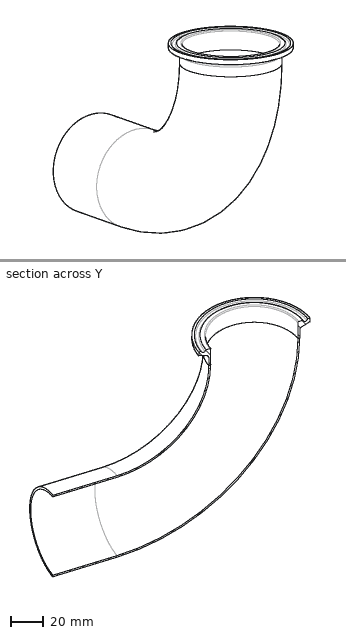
import cadquery as cq
import math

tube_radius = 31.7
wall = 1.6
bore_radius = tube_radius - wall
straight_length = 44.4
bend_radius = 95.2

rim_radius = 38.7
ferrule_height = 12.8
rim_thickness = 3.0
clamp_angle = 20.0
neck_fillet = 1.5
mouth_rounding = 0.7

groove_centre_radius = 35.3
groove_top_width = 3.5
groove_floor_width = 2.0
groove_wall_depth = 0.9
groove_depth = 1.5

ferrule_x = straight_length + bend_radius
ferrule_z = bend_radius


def make_elbow():
    """Straight tube followed by a quarter bend that turns upward."""
    section = cq.Workplane("YZ").circle(tube_radius).circle(bore_radius)
    straight = section.extrude(straight_length)
    bend = (
        cq.Workplane("YZ", origin=(straight_length, 0, 0))
        .circle(tube_radius)
        .circle(bore_radius)
        .revolve(90, (0, bend_radius, 0), (-1, bend_radius, 0))
    )
    return straight.union(bend, clean=False)


def make_groove_cutter():
    """Ring with sloping walls and a rounded floor, placed about the Z axis."""
    half_top = groove_top_width / 2
    half_floor = groove_floor_width / 2
    wall_end_z = ferrule_height - groove_wall_depth
    return (
        cq.Workplane("XZ")
        .moveTo(groove_centre_radius - half_top, ferrule_height)
        .lineTo(groove_centre_radius - half_floor, wall_end_z)
        .threePointArc(
            (groove_centre_radius, ferrule_height - groove_depth),
            (groove_centre_radius + half_floor, wall_end_z),
        )
        .lineTo(groove_centre_radius + half_top, ferrule_height)
        .close()
        .revolve(360, (0, 0, 0), (0, 1, 0))
    )


def make_ferrule():
    """Short neck with a tapered clamp rim and a gasket groove on top."""
    rim_bottom_z = ferrule_height - rim_thickness
    taper_drop = (rim_radius - tube_radius) * math.tan(math.radians(clamp_angle))
    neck_top_z = rim_bottom_z - taper_drop
    blank = (
        cq.Workplane("XZ")
        .moveTo(bore_radius, 0)
        .lineTo(tube_radius, 0)
        .lineTo(tube_radius, neck_top_z)
        .lineTo(rim_radius, rim_bottom_z)
        .lineTo(rim_radius, ferrule_height)
        .lineTo(bore_radius, ferrule_height)
        .close()
        .revolve(360, (0, 0, 0), (0, 1, 0))
    )
    neck_corner = cq.selectors.RadiusNthSelector(1)
    neck_edges = blank.edges("%CIRCLE").edges(neck_corner).edges(">Z")
    blank = neck_edges.fillet(neck_fillet)
    blank = blank.faces(">Z").edges(cq.selectors.RadiusNthSelector(0)).fillet(mouth_rounding)
    return blank.cut(make_groove_cutter()).translate((ferrule_x, 0, ferrule_z))


elbow = make_elbow()
ferrule = make_ferrule()

result = cq.Compound.makeCompound([elbow.val(), ferrule.val()])